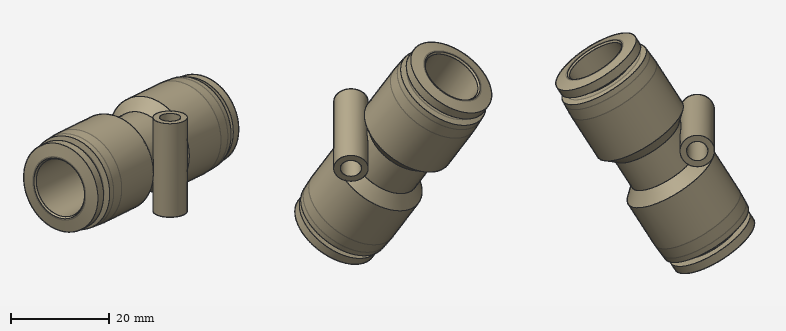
import cadquery as cq

LENGTH = 48.3
WIDTH = 23.65
BODY_DIA = 20.5
half_length = LENGTH / 2

WAIST_DIA = 15.5
TAPER_MIDDLE_DIA = 20.2
BODY_END_DIA = 20.0
BODY_FACE_DIA = 17.4
SHOULDER_END = 6.05
TAPER_START = 16.65
TAPER_MIDDLE = 19.18
BODY_RIM = 20.4
BODY_FACE = 20.6
shoulder_start = SHOULDER_END - (BODY_DIA - WAIST_DIA) / 2

NECK_DIA = 13.9
FLANGE_DIA = 19.0
FLANGE_THICKNESS = 2.35
FLANGE_CROWN = 0.5

PASSAGE_DIA = 10.0
SOCKET_DIA = 12.3
MOUTH_DIA = 13.48
LIP_INNER_DIA = 12.95
MOUTH_DEPTH = 0.4
SOCKET_DEPTH = 18.35

EYELET_DIA = 7.0
EYELET_HOLE_DIA = 4.3
eyelet_x = WIDTH - BODY_DIA / 2 - EYELET_DIA / 2


def fitting_body():
    """Revolve the symmetric wall section around the Y axis."""
    flange_back = half_length - FLANGE_THICKNESS
    half_section = [
        (WAIST_DIA / 2, shoulder_start),
        (BODY_DIA / 2, SHOULDER_END),
        (BODY_DIA / 2, TAPER_START),
        (TAPER_MIDDLE_DIA / 2, TAPER_MIDDLE),
        (BODY_END_DIA / 2, BODY_RIM),
        (BODY_FACE_DIA / 2, BODY_FACE),
        (NECK_DIA / 2, BODY_FACE),
        (NECK_DIA / 2, flange_back),
        (FLANGE_DIA / 2, flange_back),
        (FLANGE_DIA / 2, half_length - FLANGE_CROWN),
        (MOUTH_DIA / 2, half_length),
        (LIP_INNER_DIA / 2, half_length),
        (SOCKET_DIA / 2, half_length - MOUTH_DEPTH),
        (SOCKET_DIA / 2, half_length - SOCKET_DEPTH),
        (PASSAGE_DIA / 2, half_length - SOCKET_DEPTH),
    ]
    mirrored = [(radius, -y) for radius, y in reversed(half_section)]
    return cq.Workplane("XY").polyline(half_section + mirrored).close().revolve(360, (0, 0), (0, 1))


def eyelet_cylinder(diameter):
    """Cylinder on the eyelet axis, as tall as the body diameter."""
    blank = cq.Workplane("XY", origin=(0, 0, -BODY_DIA / 2)).center(eyelet_x, 0).circle(diameter / 2)
    return blank.extrude(BODY_DIA)


eyelet = eyelet_cylinder(EYELET_DIA)
eyelet_hole = eyelet_cylinder(EYELET_HOLE_DIA)
result = fitting_body().union(eyelet).cut(eyelet_hole)